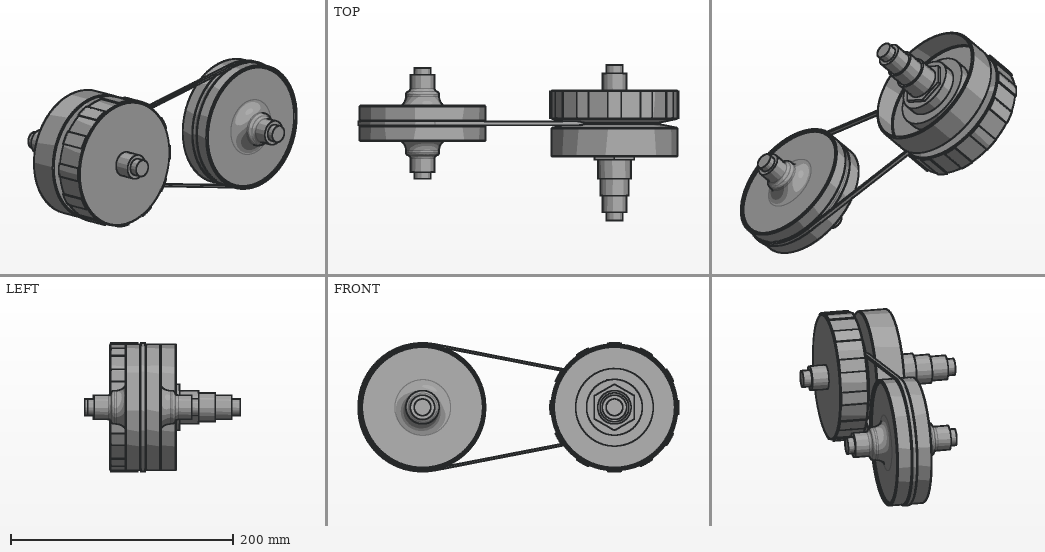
import cadquery as cq
import math

belt_outer_radius = 58.0
belt_thickness = 2.0
belt_width = 3.8
wheel_distance = 288.8 - 2 * belt_outer_radius
belt_small_radius = 25.0
driven_x = wheel_distance

rim_radius = 57.0
rim_inner_radius = 55.2
rim_chamfer = 1.0
floor_chamfer = 1.0

journal_radius = 7.5
shaft_radius = 11.0
collar_radius = 15.0

pulley_half_width = 16.2
pulley_recess_depth = 2.0
belt_clearance = 1.0
hub_flare_radius = 10.0
hub_end = 26.0
hub_blend_radius = 3.0
pulley_shoulder = 44.0
pulley_shaft_end = 50.0

sheave_half_width = 30.0
cone_gap = 3.8
cone_root_gap = 0.5
cone_root_radius = 40.5
cup_floor = 10.0
large_boss_radius = 35.0
large_boss_face = 20.0
small_boss_radius = 25.0
pad_count = 12
pad_angle = 12
pad_radius = 58.0

hex_across_flats = 36.0
hex_thickness = 3.0
collar_end = 50.0
middle_radius = 13.0
middle_end = 65.0
front_shoulder = 80.0
front_end = 87.5
rear_shoulder = 45.0
rear_end = 52.5


def revolve_about_y(profile):
    """Spin a closed outline of (radius, Y) about the Y axis."""
    return profile.close().revolve(360, (0, 0, 0), (0, 1, 0))


def make_pulley():
    """Grooved pulley with flared hubs and stepped stub shafts, as two mirrored halves."""
    floor = pulley_half_width - pulley_recess_depth
    flare_mid = hub_flare_radius * (1 - math.sqrt(0.5))
    half_step = (collar_radius - shaft_radius) / 2
    blend_angle = math.acos(1 - half_step / hub_blend_radius)
    half_length = hub_blend_radius * math.sin(blend_angle)
    mid_drop = hub_blend_radius * (1 - math.cos(blend_angle / 2))
    mid_length = hub_blend_radius * math.sin(blend_angle / 2)
    blend_end = hub_end + 2 * half_length
    groove_half_width = belt_width / 2 + belt_clearance

    half = revolve_about_y(
        cq.Workplane("XY")
        .moveTo(0, 0)
        .lineTo(belt_outer_radius - belt_thickness, 0)
        .lineTo(belt_outer_radius - belt_thickness, groove_half_width)
        .lineTo(rim_radius, groove_half_width)
        .lineTo(rim_radius, pulley_half_width - rim_chamfer)
        .lineTo(rim_radius - rim_chamfer, pulley_half_width)
        .lineTo(rim_inner_radius, pulley_half_width)
        .lineTo(rim_inner_radius, floor + floor_chamfer)
        .lineTo(rim_inner_radius - floor_chamfer, floor)
        .lineTo(collar_radius + hub_flare_radius, floor)
        .threePointArc(
            (collar_radius + flare_mid, floor + flare_mid),
            (collar_radius, floor + hub_flare_radius),
        )
        .lineTo(collar_radius, hub_end)
        .threePointArc(
            (collar_radius - mid_drop, hub_end + mid_length),
            (collar_radius - half_step, hub_end + half_length),
        )
        .threePointArc(
            (shaft_radius + mid_drop, blend_end - mid_length),
            (shaft_radius, blend_end),
        )
        .lineTo(shaft_radius, pulley_shoulder)
        .lineTo(journal_radius, pulley_shoulder)
        .lineTo(journal_radius, pulley_shaft_end)
        .lineTo(0, pulley_shaft_end)
    )
    return half.union(half.mirror("XZ"))


def belt_loop(large_radius, small_radius):
    """Solid as wide as the belt, bounded by two circles and their outer tangents."""
    tilt = math.asin((large_radius - small_radius) / wheel_distance)
    tangent_x = math.sin(tilt)
    tangent_z = math.cos(tilt)
    return (
        cq.Workplane("XZ")
        .moveTo(large_radius * tangent_x, large_radius * tangent_z)
        .lineTo(driven_x + small_radius * tangent_x, small_radius * tangent_z)
        .threePointArc(
            (driven_x + small_radius, 0),
            (driven_x + small_radius * tangent_x, -small_radius * tangent_z),
        )
        .lineTo(large_radius * tangent_x, -large_radius * tangent_z)
        .threePointArc((-large_radius, 0), (large_radius * tangent_x, large_radius * tangent_z))
        .close()
        .extrude(belt_width / 2, both=True)
    )


def make_belt():
    """Flat belt around both wheels."""
    outer = belt_loop(belt_outer_radius, belt_small_radius)
    inner = belt_loop(belt_outer_radius - belt_thickness, belt_small_radius - belt_thickness)
    return outer.cut(inner)


def sheave_blank():
    """Solid sheave on the +Y side: a cone facing Y = 0, then a chamfered rim."""
    return revolve_about_y(
        cq.Workplane("XY")
        .moveTo(shaft_radius, 0)
        .lineTo(cone_root_radius, 0)
        .lineTo(cone_root_radius, cone_root_gap)
        .lineTo(rim_radius - rim_chamfer, cone_gap)
        .lineTo(rim_radius, cone_gap + rim_chamfer)
        .lineTo(rim_radius, sheave_half_width - rim_chamfer)
        .lineTo(rim_radius - rim_chamfer, sheave_half_width)
        .lineTo(shaft_radius, sheave_half_width)
    )


def place_on_driven_axis(body):
    return body.translate((driven_x, 0, 0))


def make_front_sheave(belt):
    """Cup-shaped sheave on the -Y side, with two stepped bosses inside the cup."""
    cup_space = revolve_about_y(
        cq.Workplane("XY")
        .moveTo(rim_inner_radius - floor_chamfer, cup_floor)
        .lineTo(rim_inner_radius, cup_floor + floor_chamfer)
        .lineTo(rim_inner_radius, sheave_half_width)
        .lineTo(small_boss_radius, sheave_half_width)
        .lineTo(small_boss_radius, large_boss_face)
        .lineTo(large_boss_radius, large_boss_face)
        .lineTo(large_boss_radius, cup_floor)
    )
    sheave = sheave_blank().cut(cup_space).mirror("XZ")
    return place_on_driven_axis(sheave).cut(belt)


def make_rear_sheave(belt):
    """Sheave on the +Y side with raised pads spaced around its rim."""
    pad_start = cone_gap + rim_chamfer
    pad_length = sheave_half_width - rim_chamfer - pad_start
    half_angle = math.radians(pad_angle / 2)
    pad_root = rim_radius - rim_chamfer
    side_x = math.sin(half_angle)
    side_z = math.cos(half_angle)
    pad = (
        cq.Workplane("XZ", origin=(0, pad_start, 0))
        .moveTo(pad_root * side_x, pad_root * side_z)
        .lineTo(pad_radius * side_x, pad_radius * side_z)
        .threePointArc((0, pad_radius), (-pad_radius * side_x, pad_radius * side_z))
        .lineTo(-pad_root * side_x, pad_root * side_z)
        .close()
        .extrude(-pad_length)
    )
    sheave = sheave_blank()
    for index in range(pad_count):
        sheave = sheave.union(pad.rotate((0, 0, 0), (0, 1, 0), index * 360 / pad_count))
    return place_on_driven_axis(sheave).cut(belt)


def make_driven_shaft():
    """Stepped shaft through both sheaves, with a hexagon seated on the front boss."""
    turned = revolve_about_y(
        cq.Workplane("XY")
        .moveTo(0, rear_end)
        .lineTo(journal_radius, rear_end)
        .lineTo(journal_radius, rear_shoulder)
        .lineTo(shaft_radius, rear_shoulder)
        .lineTo(shaft_radius, -sheave_half_width)
        .lineTo(collar_radius, -sheave_half_width)
        .lineTo(collar_radius, -collar_end)
        .lineTo(middle_radius, -collar_end)
        .lineTo(middle_radius, -middle_end)
        .lineTo(shaft_radius, -middle_end)
        .lineTo(shaft_radius, -front_shoulder)
        .lineTo(journal_radius, -front_shoulder)
        .lineTo(journal_radius, -front_end)
        .lineTo(0, -front_end)
    )
    hex_across_corners = hex_across_flats / math.cos(math.pi / 6)
    hexagon = (
        cq.Workplane("XZ", origin=(0, -sheave_half_width, 0))
        .polygon(6, hex_across_corners)
        .extrude(hex_thickness)
        .rotate((0, 0, 0), (0, 1, 0), 30)
    )
    return place_on_driven_axis(turned.union(hexagon))


pulley = make_pulley()
belt = make_belt()
front_sheave = make_front_sheave(belt)
rear_sheave = make_rear_sheave(belt)
driven_shaft = make_driven_shaft()

result = cq.Compound.makeCompound([
    pulley.val(),
    belt.val(),
    front_sheave.val(),
    rear_sheave.val(),
    driven_shaft.val(),
])